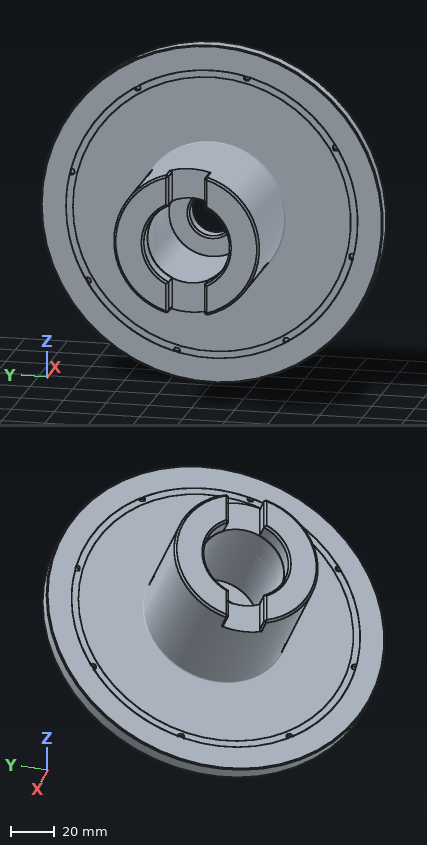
import cadquery as cq

TOTAL_LENGTH = 63.0
FLANGE_THICKNESS = 8.0
FLANGE_FACE_X = TOTAL_LENGTH - FLANGE_THICKNESS
SLOT_DEPTH = 9.0
SEAT_LEAD_IN_X = 23.8
SEAT_X = 25.0
BORE_FLOOR_X = 55.0

FLANGE_RADIUS = 160.0 / 2
HUB_RADIUS = 68.0 / 2

GUIDE_RADIUS = 40.05 / 2
RELIEF_RADIUS = 40.3 / 2
SEAT_RADIUS = 40.0 / 2
SHAFT_HOLE_RADIUS = 21.0 / 2

SLOT_WIDTH = 17.0

GROOVE_OUTER_RADIUS = 136.48 / 2
GROOVE_INNER_RADIUS = 130.0 / 2
GROOVE_DEPTH = 0.1

NOTCH_COUNT = 8
NOTCH_RADIUS = 1.5
NOTCH_CIRCLE_RADIUS = 67.75
NOTCH_DEPTH = 2.0
NOTCH_START_ANGLE = 14.0

PRONG_CHAMFER = 1.0
ROOT_FILLET = 0.8
SHAFT_HOLE_CHAMFER = 1.0
FLANGE_CHAMFER = 0.5


def turned(profile):
    """Solid of revolution about the X axis from a closed profile of (x, radius)."""
    return profile.revolve(360, (0, 0, 0), (1, 0, 0))


def make_body():
    """Hub and flange as one turned blank, with a fillet where they meet."""
    return turned(
        cq.Workplane("XY")
        .lineTo(0, HUB_RADIUS)
        .lineTo(FLANGE_FACE_X - ROOT_FILLET, HUB_RADIUS)
        .radiusArc((FLANGE_FACE_X, HUB_RADIUS + ROOT_FILLET), -ROOT_FILLET)
        .lineTo(FLANGE_FACE_X, FLANGE_RADIUS - FLANGE_CHAMFER)
        .lineTo(FLANGE_FACE_X + FLANGE_CHAMFER, FLANGE_RADIUS)
        .lineTo(TOTAL_LENGTH - FLANGE_CHAMFER, FLANGE_RADIUS)
        .lineTo(TOTAL_LENGTH, FLANGE_RADIUS - FLANGE_CHAMFER)
        .lineTo(TOTAL_LENGTH, 0)
        .close()
    )


def make_bore():
    """Stepped bore with a chamfered shaft hole through its floor."""
    points = [
        (0, 0),
        (0, GUIDE_RADIUS),
        (SLOT_DEPTH, GUIDE_RADIUS),
        (SLOT_DEPTH, RELIEF_RADIUS),
        (SEAT_LEAD_IN_X, RELIEF_RADIUS),
        (SEAT_X, SEAT_RADIUS),
        (BORE_FLOOR_X, SEAT_RADIUS),
        (BORE_FLOOR_X, SHAFT_HOLE_RADIUS + SHAFT_HOLE_CHAMFER),
        (BORE_FLOOR_X + SHAFT_HOLE_CHAMFER, SHAFT_HOLE_RADIUS),
        (TOTAL_LENGTH, SHAFT_HOLE_RADIUS),
        (TOTAL_LENGTH, 0),
    ]
    return turned(cq.Workplane("XY").polyline(points).close())


def cut_slot(body):
    """Cut the slot along Z and break the edges of the two prongs it leaves."""
    slot = cq.Workplane("XY").box(2 * SLOT_DEPTH, SLOT_WIDTH, 2 * HUB_RADIUS)
    body = body.cut(slot)
    wall_middle = (GUIDE_RADIUS + HUB_RADIUS) / 2
    upper = cq.selectors.BoxSelector(
        (0, -SLOT_WIDTH, wall_middle), (SLOT_DEPTH, SLOT_WIDTH, HUB_RADIUS)
    )
    lower = cq.selectors.BoxSelector(
        (0, -SLOT_WIDTH, -HUB_RADIUS), (SLOT_DEPTH, SLOT_WIDTH, -wall_middle)
    )
    outer_corners = body.edges("|X").edges(upper + lower)
    return body.faces("<X").edges().add(outer_corners).chamfer(PRONG_CHAMFER)


def cut_ring_groove(body):
    groove = cq.Workplane("YZ", origin=(FLANGE_FACE_X, 0, 0)).circle(GROOVE_OUTER_RADIUS)
    return body.cut(groove.circle(GROOVE_INNER_RADIUS).extrude(GROOVE_DEPTH))


def cut_notches(body):
    """Cut a ring of blind holes, each limited to the inside of the groove's outer wall."""
    flange_face = cq.Workplane("YZ", origin=(FLANGE_FACE_X, 0, 0))
    holes = (
        flange_face.polarArray(NOTCH_CIRCLE_RADIUS, NOTCH_START_ANGLE, 360, NOTCH_COUNT)
        .circle(NOTCH_RADIUS)
        .extrude(NOTCH_DEPTH)
    )
    limit = flange_face.circle(GROOVE_OUTER_RADIUS).extrude(NOTCH_DEPTH)
    return body.cut(holes.intersect(limit))


result = make_body().cut(make_bore())
result = cut_slot(result)
result = cut_ring_groove(result)
result = cut_notches(result)